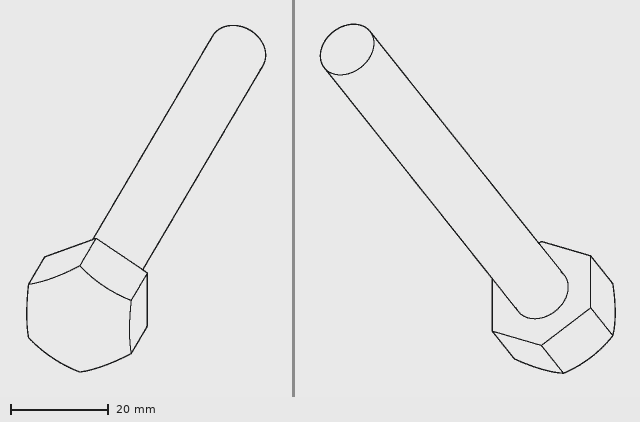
import cadquery as cq
import math

shank_diameter = 12.0
shank_length = 100.0
across_flats = 22.0
head_height = 16.0
dome_radius = 20.0

hex_sides = 6
half_side_angle = 180.0 / hex_sides
across_corners = across_flats / math.cos(math.radians(half_side_angle))


def make_head():
    """Hexagonal prism towards -Y, with corners at +Z and -Z, capped by a spherical dome."""
    prism = (
        cq.Workplane("XZ")
        .transformed(rotate=(0, 0, half_side_angle))
        .polygon(hex_sides, across_corners)
        .extrude(head_height)
    )
    dome_centre_y = dome_radius - head_height
    dome = cq.Workplane("XY").sphere(dome_radius).translate((0, dome_centre_y, 0))
    return prism.intersect(dome)


def make_shank():
    """Plain cylinder from the underside of the head towards +Y."""
    return cq.Workplane("XZ").circle(shank_diameter / 2).extrude(-shank_length)


result = make_head().union(make_shank())